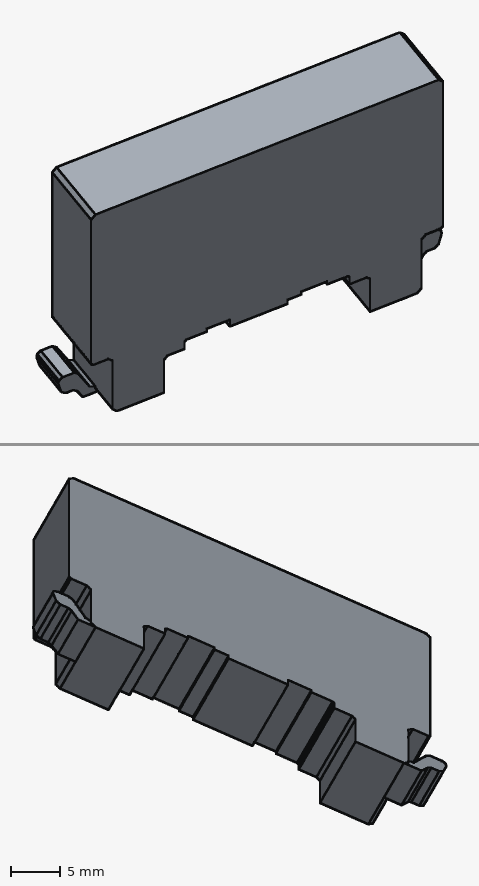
import cadquery as cq

housing_thickness = 8.0
housing_height = 28.77
body_half_length = 20.5
body_bottom_z = 7.8
body_top_chamfer = 0.5
body_bottom_chamfer = 0.2
leg_outer_y = 18.0
leg_inner_y = 12.0
leg_chamfer = 0.5

recess_shoulder_z = 5.0
recess_shoulder_y = 9.6
recess_shelf_z = 6.2
recess_roof_z = 6.6
recess_roof_outer_y = 7.0
recess_roof_inner_y = 4.0
recess_tongue_z = 5.65
recess_tongue_left_y = 2.4
recess_tongue_right_y = -4.35
recess_leg_chamfer = 0.4
recess_shelf_chamfer = 0.2

clip_width = 4.5
clip_tip_y = 44.68 / 2
clip_top_z = 3.9
clip_nose_bottom_z = 1.5
clip_heel_y = 19.5
clip_root_z = 0.78
clip_underside_bend = [(20.22, 1.21), (20.6, clip_nose_bottom_z)]
clip_nose_bottom_corner = [(21.5, clip_nose_bottom_z), (21.98, 1.88)]
clip_nose_tip_corner = [(clip_tip_y, 3.22), (22.26, 3.62), (22.0, 3.82), (21.84, clip_top_z)]
clip_shoulder_corner = [(20.48, clip_top_z), (20.0, 3.5)]
clip_root_bend = (18.67, 1.08)


def extrude_profile(points, width):
    """Extrude a closed (Y, Z) outline from X = 0 towards +X."""
    return cq.Workplane("YZ").polyline(points).close().extrude(width)


def edge_at(solid, y, z):
    """The edge along X that passes through (y, z)."""
    return solid.edges("|X").edges(cq.NearestToPointSelector((solid.val().Center().x, y, z)))


def make_housing():
    outline = [
        (body_half_length, housing_height),
        (body_half_length, body_bottom_z),
        (leg_outer_y, body_bottom_z),
        (leg_outer_y, 0),
        (leg_inner_y, 0),
        (leg_inner_y, recess_shoulder_z),
        (recess_shoulder_y, recess_shoulder_z),
        (recess_shoulder_y, recess_shelf_z),
        (recess_roof_outer_y, recess_shelf_z),
        (recess_roof_outer_y, recess_roof_z),
        (recess_roof_inner_y, recess_roof_z),
        (recess_roof_inner_y, recess_shelf_z),
        (recess_tongue_left_y, recess_shelf_z),
        (recess_tongue_left_y, recess_tongue_z),
        (recess_tongue_right_y, recess_tongue_z),
        (recess_tongue_right_y, recess_roof_z),
        (-recess_roof_outer_y, recess_roof_z),
        (-recess_roof_outer_y, recess_shelf_z),
        (-recess_shoulder_y, recess_shelf_z),
        (-recess_shoulder_y, recess_shoulder_z),
        (-leg_inner_y, recess_shoulder_z),
        (-leg_inner_y, 0),
        (-leg_outer_y, 0),
        (-leg_outer_y, body_bottom_z),
        (-body_half_length, body_bottom_z),
        (-body_half_length, housing_height),
    ]
    corner_chamfers = [
        (body_half_length, housing_height, body_top_chamfer),
        (body_half_length, body_bottom_z, body_bottom_chamfer),
        (leg_outer_y, body_bottom_z, leg_chamfer),
        (leg_outer_y, 0, leg_chamfer),
        (leg_inner_y, recess_shoulder_z, recess_leg_chamfer),
        (recess_shoulder_y, recess_shelf_z, recess_shelf_chamfer),
    ]
    housing = extrude_profile(outline, housing_thickness)
    for side in (1, -1):
        for y, z, size in corner_chamfers:
            housing = edge_at(housing, side * y, z).chamfer(size)
    return housing


def make_clip(side):
    """One clip; side is +1 for the +Y leg and -1 for the -Y leg."""
    outline = [
        (leg_outer_y - leg_chamfer, 0),
        (clip_heel_y, 0),
        *clip_underside_bend,
        *clip_nose_bottom_corner,
        *clip_nose_tip_corner,
        *clip_shoulder_corner,
        clip_root_bend,
        (leg_outer_y, clip_root_z),
        (leg_outer_y, leg_chamfer),
    ]
    return extrude_profile([(side * y, z) for y, z in outline], clip_width)


housing = make_housing()
clips = [make_clip(side) for side in (1, -1)]

result = cq.Compound.makeCompound([housing.val(), *[clip.val() for clip in clips]])